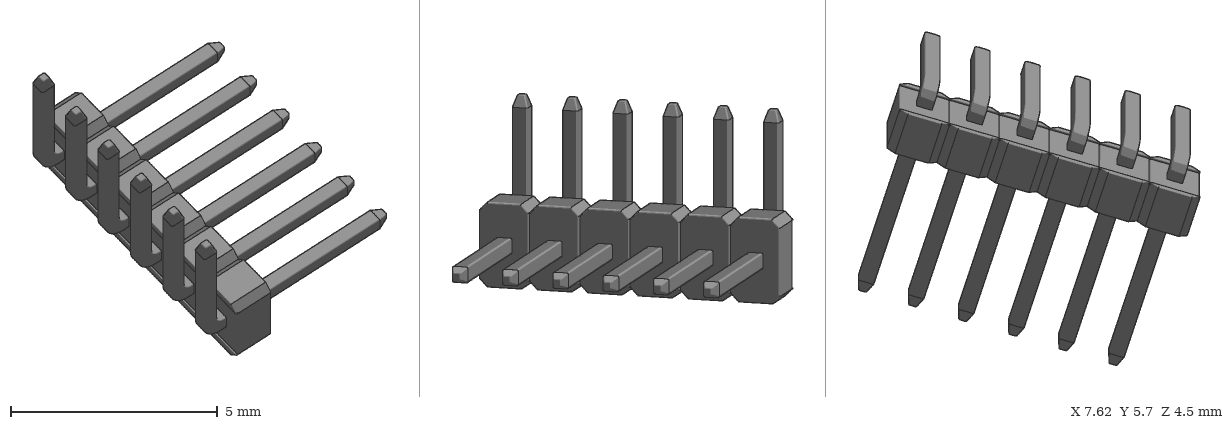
import cadquery as cq
import math

row_length = 7.62
position_count = 6
pitch = row_length / position_count

block_height = 2.1
block_depth = 1.04
block_bevel = 0.205
block_edge_radius = 0.0495
lip_overhang = 0.05
lip_height = block_bevel
lip_edge_radius = 0.027

pin_width = 0.4
pin_edge_radius = 0.0495
pin_back_reach = 3.985
pin_front_reach = 1.715
total_height = 4.5
bend_inner_radius = 0.25
bend_outer_radius = 0.5
tip_length = 0.3
tip_width = 0.2

half_height = block_height / 2
half_pin = pin_width / 2
lip_front = block_depth + lip_overhang
leg_front_y = -pin_front_reach
leg_back_y = leg_front_y + pin_width
pin_top_z = total_height - half_height
rear_shoulder_y = pin_back_reach - tip_length
top_shoulder_z = pin_top_z - tip_length
tip_taper = math.degrees(math.atan2((pin_width - tip_width) / 2, tip_length))


def beveled_bar():
    """Block body with bevelled side edges, as deep as the lips reach."""
    bar = cq.Workplane("XY").box(pitch, lip_front, block_height)
    bar = bar.translate((0, -lip_front / 2, 0))
    return bar.edges("|Y").chamfer(block_bevel)


def front_recess():
    """Shallow box cut across the front, leaving a lip above and below it."""
    recess = cq.Workplane("XY").box(pitch, lip_overhang, block_height - 2 * lip_height)
    return recess.translate((0, -block_depth - lip_overhang / 2, 0))


def make_block():
    """Block with its back, recess and lip edges rounded."""
    block = beveled_bar().cut(front_recess())
    block = block.faces(">Y").edges().fillet(block_edge_radius)
    recess_floor = cq.NearestToPointSelector((0, -block_depth, 0))
    block = block.faces(recess_floor).edges("|Z").fillet(block_edge_radius)
    return block.faces("<Y").edges().fillet(lip_edge_radius)


def pin_shank():
    """L-shaped bar without its tips, the bend rounded inside and out."""
    return (
        cq.Workplane("YZ")
        .moveTo(rear_shoulder_y, -half_pin)
        .lineTo(leg_front_y + bend_outer_radius, -half_pin)
        .radiusArc((leg_front_y, -half_pin + bend_outer_radius), bend_outer_radius)
        .lineTo(leg_front_y, top_shoulder_z)
        .lineTo(leg_back_y, top_shoulder_z)
        .lineTo(leg_back_y, half_pin + bend_inner_radius)
        .radiusArc((leg_back_y + bend_inner_radius, half_pin), -bend_inner_radius)
        .lineTo(rear_shoulder_y, half_pin)
        .close()
        .extrude(half_pin, both=True)
    )


def pin_tip():
    """Tapered point standing on the origin along Z, every edge rounded except its base."""
    tip = cq.Workplane("XY").rect(pin_width, pin_width).extrude(tip_length, taper=tip_taper)
    return tip.edges("not <Z").fillet(pin_edge_radius)


def make_pin():
    shank = pin_shank().faces("<X or >X").edges("not(>Y or >Z)").fillet(pin_edge_radius)
    top_tip = pin_tip().translate((0, leg_front_y + half_pin, top_shoulder_z))
    rear_tip = pin_tip().rotate((0, 0, 0), (1, 0, 0), -90).translate((0, rear_shoulder_y, 0))
    return shank.union(top_tip).union(rear_tip)


def make_position(index):
    """One block with its pin, in its place along the row."""
    x = (index + 0.5) * pitch - row_length / 2
    return make_block().union(make_pin()).translate((x, 0, 0))


positions = [make_position(index) for index in range(position_count)]

result = cq.Compound.makeCompound([position.val() for position in positions])